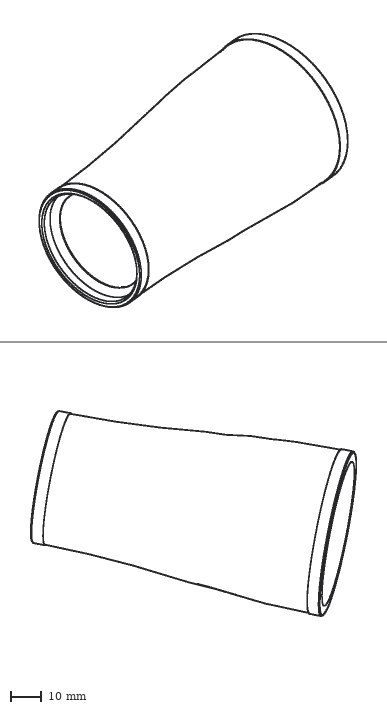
import cadquery as cq
import math

length = 100.0
small_end_y = -length / 2
large_end_y = length / 2

large_collar_radius = 28.0
small_collar_radius = 22.45
small_collar_step = 0.2
large_collar_step = 0.25
collar_width = 4.3
rim_chamfer = 0.4
middle_radius = 25.0

mouth_radius = 20.9
socket_radius = 20.3
socket_depth = 3.5
throat_radius = 18.0
throat_land = 0.3
flare_angle = 26.0
flare_length = 4.9
blend_length = 4.5
bore_taper_angle = 2.0


def end_tangent_arc_middle(end, middle):
    """Midpoint of the arc that runs parallel to the axis at `end` and passes through `middle`."""
    rise = middle[0] - end[0]
    run = middle[1] - end[1]
    arc_radius = (rise**2 + run**2) / (2 * abs(rise))
    half_angle = math.asin(abs(run) / arc_radius) / 2
    radius = end[0] + math.copysign(arc_radius * (1 - math.cos(half_angle)), rise)
    return radius, end[1] + math.copysign(arc_radius * math.sin(half_angle), run)


def revolve_about_y(profile):
    return profile.revolve(360, (0, 0, 0), (0, 1, 0))


def outer_body():
    small_neck = (small_collar_radius - small_collar_step, small_end_y + collar_width)
    large_neck = (large_collar_radius - large_collar_step, large_end_y - collar_width)
    waist = (middle_radius, 0)
    profile = (
        cq.Workplane("XY")
        .moveTo(0, small_end_y)
        .lineTo(small_collar_radius - rim_chamfer, small_end_y)
        .lineTo(small_collar_radius, small_end_y + rim_chamfer)
        .lineTo(small_collar_radius, small_neck[1])
        .lineTo(*small_neck)
        .threePointArc(end_tangent_arc_middle(small_neck, waist), waist)
        .threePointArc(end_tangent_arc_middle(large_neck, waist), large_neck)
        .lineTo(large_collar_radius, large_neck[1])
        .lineTo(large_collar_radius, large_end_y - rim_chamfer)
        .lineTo(large_collar_radius - rim_chamfer, large_end_y)
        .lineTo(0, large_end_y)
        .close()
    )
    return revolve_about_y(profile)


def bore():
    flare_slope = math.tan(math.radians(flare_angle))
    blend_chord_slope = math.tan(math.radians((flare_angle + bore_taper_angle) / 2))
    taper_slope = math.tan(math.radians(bore_taper_angle))

    throat_start_y = small_end_y + socket_depth + (socket_radius - throat_radius)
    throat_end_y = throat_start_y + throat_land
    blend_start = (throat_radius + flare_length * flare_slope, throat_end_y + flare_length)
    blend_end = (
        blend_start[0] + blend_length * blend_chord_slope,
        blend_start[1] + blend_length,
    )
    large_end_bore_radius = blend_end[0] + (large_end_y - blend_end[1]) * taper_slope

    profile = (
        cq.Workplane("XY")
        .moveTo(0, small_end_y)
        .lineTo(mouth_radius, small_end_y)
        .lineTo(socket_radius, small_end_y + mouth_radius - socket_radius)
        .lineTo(socket_radius, small_end_y + socket_depth)
        .lineTo(throat_radius, throat_start_y)
        .lineTo(throat_radius, throat_end_y)
        .lineTo(*blend_start)
        .tangentArcPoint(blend_end, relative=False)
        .lineTo(large_end_bore_radius, large_end_y)
        .lineTo(0, large_end_y)
        .close()
    )
    return revolve_about_y(profile)


result = outer_body().cut(bore())